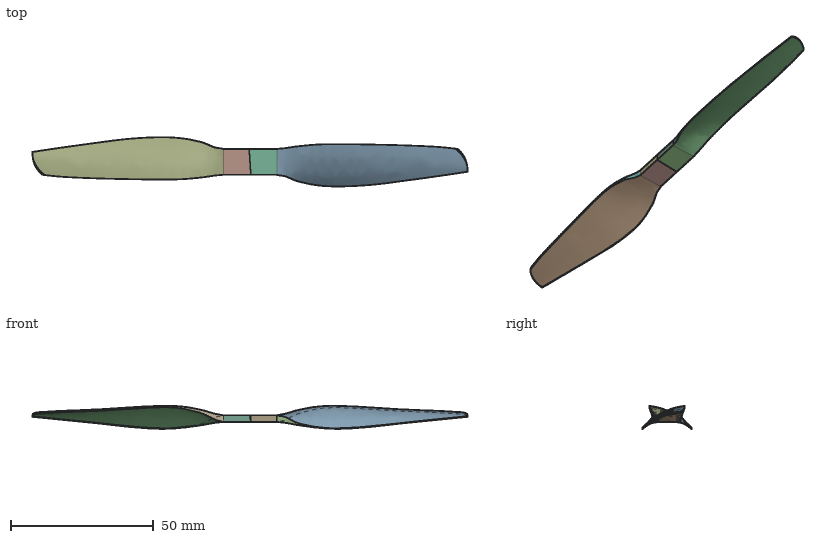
import cadquery as cq
import math

half_span = 76.3

hub_width = 9.2
hub_top = 0.8
hub_height = 2.5
hub_length = 9.5
joint_slant = 0.3

blade_stations = [
    (hub_length, -hub_width / 2, hub_top - hub_height, hub_width / 2, hub_top, hub_height, hub_height, 0, 0),
    (12.5, -5.2, -2.0, 4.9, 1.4, 2.0, 2.0, 0.5, 0.2),
    (16.8, -6.9, -2.7, 5.5, 2.6, 0.8, 1.2, 1.2, 0.8),
    (23.5, -8.2, -3.7, 6.1, 3.8, 0.3, 0.8, 1.5, 0.9),
    (30.8, -8.7, -4.1, 6.3, 4.1, 0.3, 0.6, 1.5, 0.9),
    (42.7, -8.1, -3.4, 6.1, 3.5, 0.3, 0.6, 1.4, 0.8),
    (54.9, -6.5, -2.0, 5.8, 2.7, 0.3, 0.6, 1.0, 0.6),
    (67.1, -4.9, -0.8, 5.2, 2.3, 0.3, 0.6, 0.8, 0.5),
    (half_span, -3.5, 0.2, 4.1, 1.7, 0.3, 0.6, 0.5, 0.3),
]
section_count = 30

tip_start = (58.0, 8.0)
tip_shoulder = (69.4, 5.3)
tip_bend = (74.6, 2.0)
tip_corner = (half_span, -3.5)
tip_rim_slope = 40.0
tip_rim_z = 1.0
tool_margin = 4.5
tool_reach = 4.5


def blade_section(x, low_y, low_z, high_y, high_z, low_thickness, high_thickness, top_camber, bottom_camber):
    """Closed cambered section across the blade at distance x from the hub axis."""
    low_top = low_z + low_thickness
    high_bottom = high_z - high_thickness
    top_chord = math.atan2(high_z - low_top, high_y - low_y)
    bottom_chord = math.atan2(high_bottom - low_z, high_y - low_y)
    middle_y = (low_y + high_y) / 2
    top_middle = (
        middle_y - top_camber * math.sin(top_chord),
        (low_top + high_z) / 2 + top_camber * math.cos(top_chord),
    )
    bottom_middle = (
        middle_y - bottom_camber * math.sin(bottom_chord),
        (low_z + high_bottom) / 2 + bottom_camber * math.cos(bottom_chord),
    )
    return (
        cq.Workplane("YZ", origin=(x, 0, 0))
        .moveTo(low_y, low_top)
        .spline([top_middle, (high_y, high_z)], includeCurrent=True)
        .lineTo(high_y, high_bottom)
        .spline([bottom_middle, (low_y, low_z)], includeCurrent=True)
        .close()
        .val()
    )


def station_slope(index, column):
    """Rate of change along X at a station; zero at the root, so the blade leaves the hub smoothly."""
    if index == 0:
        return 0
    before = blade_stations[index - 1]
    after = blade_stations[min(index + 1, len(blade_stations) - 1)]
    return (after[column] - before[column]) / (after[0] - before[0])


def blade_station_at(x):
    """Station at distance x, by cubic blending between the two driving stations around it."""
    index = 0
    while index < len(blade_stations) - 2 and x > blade_stations[index + 1][0]:
        index += 1
    start = blade_stations[index]
    end = blade_stations[index + 1]
    length = end[0] - start[0]
    t = (x - start[0]) / length
    end_weight = t * t * (3 - 2 * t)
    start_slope_weight = length * t * (1 - t) ** 2
    end_slope_weight = length * t * t * (t - 1)
    station = [x]
    for column in range(1, len(start)):
        station.append(
            start[column] * (1 - end_weight)
            + end[column] * end_weight
            + station_slope(index, column) * start_slope_weight
            + station_slope(index + 1, column) * end_slope_weight
        )
    return station


def make_hub_half():
    """Bar from the slanted joint face to the blade root."""
    half_width = hub_width / 2
    return (
        cq.Workplane("XY", origin=(0, 0, hub_top - hub_height))
        .polyline([
            (joint_slant, -half_width),
            (hub_length, -half_width),
            (hub_length, half_width),
            (-joint_slant, half_width),
        ])
        .close()
        .extrude(hub_height)
    )


def make_tip_cutter():
    """Material outside the rounded tip, tilted about X so that the cut rim faces partly upward."""
    outer_x = half_span + tool_margin
    outer_y = tip_start[1] + tool_margin
    return (
        cq.Workplane("XY", origin=(0, 0, tip_rim_z))
        .moveTo(*tip_start)
        .spline([tip_shoulder, tip_bend, tip_corner], includeCurrent=True)
        .lineTo(outer_x, tip_corner[1])
        .lineTo(outer_x, outer_y)
        .lineTo(tip_start[0], outer_y)
        .close()
        .extrude(tool_reach, both=True)
        .rotate((0, 0, tip_rim_z), (1, 0, tip_rim_z), tip_rim_slope)
    )


def make_propeller_half():
    """Hub half and twisted, cambered blade along +X, as one solid."""
    spacing = (half_span - hub_length) / (section_count - 1)
    sections = [
        blade_section(*blade_station_at(hub_length + spacing * number)) for number in range(section_count)
    ]
    blade = cq.Workplane(cq.Solid.makeLoft(sections))
    return make_hub_half().union(blade.cut(make_tip_cutter()))


propeller_halves = []
for angle in (0, 180):
    half = make_propeller_half().rotate((0, 0, 0), (0, 0, 1), angle)
    propeller_halves.append(half.val())

result = cq.Compound.makeCompound(propeller_halves)